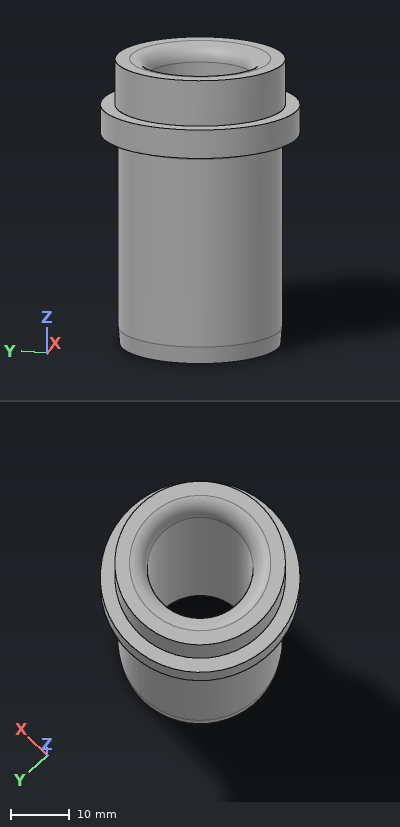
import cadquery as cq
import math

total_length = 50.0
collar_height = 8.0
flange_height = 5.0
lead_in_length = 3.0

flange_diameter = 34.0
collar_diameter = 29.0
body_diameter = 28.0
bore_diameter = 18.0

lead_in_angle = 5.0
neck_fillet = 1.0
mouth_radius = 3.0

flange_top = total_length - collar_height
flange_bottom = flange_top - flange_height
flange_radius = flange_diameter / 2
collar_radius = collar_diameter / 2
body_radius = body_diameter / 2
bore_radius = bore_diameter / 2
tip_radius = body_radius - lead_in_length * math.tan(math.radians(lead_in_angle))


def bushing():
    """Revolve the half section of the wall; section coordinates are (radius, height)."""
    section = (
        cq.Workplane("XZ")
        .moveTo(bore_radius, 0)
        .lineTo(tip_radius, 0)
        .lineTo(body_radius, lead_in_length)
        .lineTo(body_radius, flange_bottom - neck_fillet)
        .radiusArc((body_radius + neck_fillet, flange_bottom), neck_fillet)
        .lineTo(flange_radius, flange_bottom)
        .lineTo(flange_radius, flange_top)
        .lineTo(collar_radius, flange_top)
        .lineTo(collar_radius, total_length)
        .lineTo(bore_radius + mouth_radius, total_length)
        .radiusArc((bore_radius, total_length - mouth_radius), -mouth_radius)
        .close()
    )
    return section.revolve(360, (0, 0, 0), (0, 1, 0))


result = bushing()